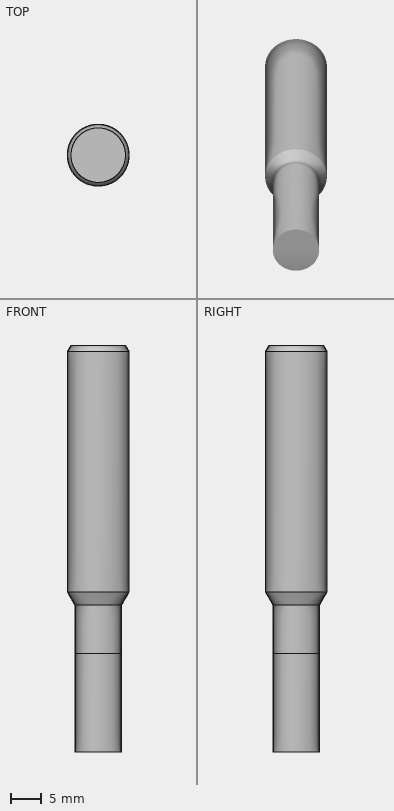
import cadquery as cq
import math

overall_length = 66.0
shank_diameter = 10.0
neck_diameter = 7.5
cutter_length = 16.0
neck_length = 7.85
cone_angle = math.radians(30)
chamfer_width = 0.6

shank_radius = shank_diameter / 2
neck_radius = neck_diameter / 2
taper_start = cutter_length + neck_length
taper_end = taper_start + (shank_radius - neck_radius) / math.tan(cone_angle)
chamfer_start = overall_length - chamfer_width / math.tan(cone_angle)


def make_cutter():
    """Plain cylindrical cutter blank, flush with the neck."""
    return cq.Workplane("XY").circle(neck_radius).extrude(cutter_length)


def make_holder():
    """Neck, taper and shank with a chamfered top end, turned about Z."""
    half_profile = (
        cq.Workplane("XZ")
        .moveTo(0, cutter_length)
        .lineTo(neck_radius, cutter_length)
        .lineTo(neck_radius, taper_start)
        .lineTo(shank_radius, taper_end)
        .lineTo(shank_radius, chamfer_start)
        .lineTo(shank_radius - chamfer_width, overall_length)
        .lineTo(0, overall_length)
        .close()
    )
    return half_profile.revolve(360, (0, 0, 0), (0, 1, 0))


cutter = make_cutter()
holder = make_holder()

result = cq.Compound.makeCompound([cutter.val(), holder.val()])